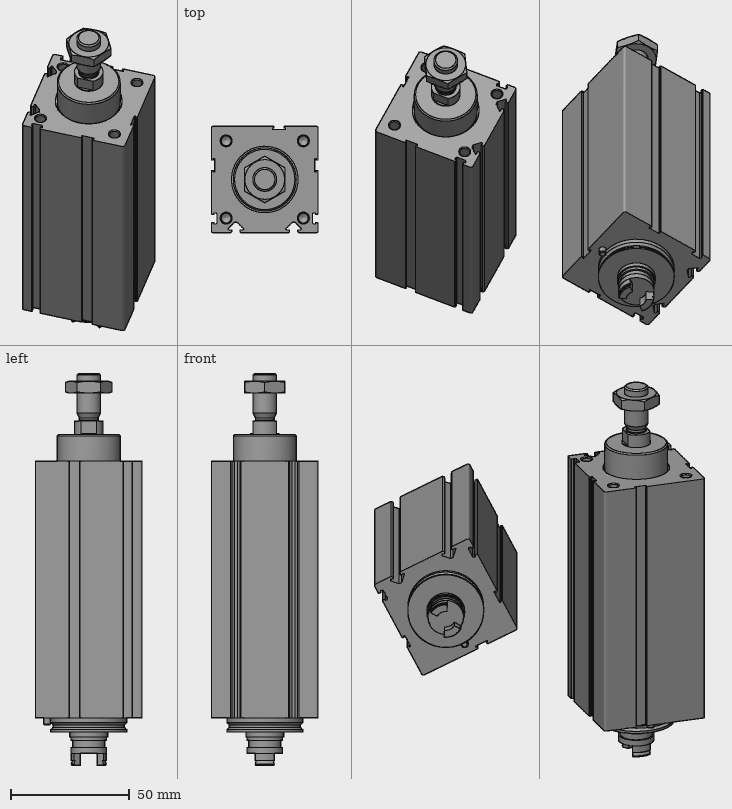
import cadquery as cq
import math


body_side = 45.0
body_height = 108.0
corner_radius = 1.0
screw_pitch = 32.5
tap_dia = 4.13
tap_depth = 10.0
tap_mouth_dia = 5.0
drill_tip_angle = 118.0
recess_dia = 28.0
recess_depth = 1.0

groove_offset = 6.0
groove_mouth = 4.3
groove_width = 5.3
groove_mouth_chamfer = 0.25
groove_lip = 0.9
groove_depth = 1.4

side_slot_offset = 16.4
side_slot_mouth = 3.4
side_slot_width = 4.6
side_slot_mouth_chamfer = 0.25
side_slot_lip = 1.2
side_slot_depth = 2.4
side_slot_corner = 0.4

sensor_offset = 12.15
sensor_mouth = 3.3
sensor_mouth_chamfer = 0.6
sensor_lip = 1.3
sensor_shoulder_width = 5.8
sensor_width = 6.63
sensor_top_width = 1.2

collar_dia = 26.52
collar_projection = 11.2
collar_chamfer = 0.6

rod_dia = 12.0
rod_flats = 10.0
rod_flats_start = 11.6
rod_shoulder = 16.8
neck_dia = 8.0
neck_root_dia = 8.57
neck_start = 17.2
neck_end = 18.2
thread_start = 20.2
thread_dia = 10.0
thread_tip_dia = 8.57
thread_tip_length = 0.6
rod_top = 36.8

nut_across_flats = 17.0
nut_thickness = 5.0
nut_bottom = 28.6
nut_face_dia = 16.7
nut_chamfer_angle = 20.0

flange_dia = 32.0
flange_groove_dia = 30.0
flange_rim = 2.0
flange_taper = 1.0
flange_groove_land = 1.0
flange_bottom_rim = 1.0

coupling_head_dia = 16.0
coupling_ring_dia = 15.0
coupling_neck_dia = 13.6
prong_dia = 14.8
coupling_head_end = 8.0
coupling_neck_start = 9.5
coupling_neck_end = 12.4
coupling_ring_end = 15.0
prong_groove_start = 18.0
prong_groove_end = 19.4
coupling_end = 20.0
prong_half_angle = 33.0
prong_bore_dia = 8.3
prong_tip_dia = 14.2

pin_dia = 3.0
pin_offset_y = 17.5
pin_projection = 3.0
pin_depth = 3.0
pin_chamfer = 0.4

half_side = body_side / 2
collar_base = body_height - recess_depth
flange_thickness = flange_rim + 2 * flange_taper + flange_groove_land + flange_bottom_rim


def revolve_profile(points):
    """Solid of revolution about Z from (radius, z) points."""
    return cq.Workplane("XZ").polyline(points).close().revolve(360, (0, 0, 0), (0, 1, 0))


def lipped_slot(half_outline, offset, face_angle):
    """Full-height cutter for a slot entering from the -Y face, turned about Z onto another face.

    half_outline lists (half width, depth) points from the slot mouth to its floor.
    """
    right = [(offset + w, depth - half_side) for w, depth in half_outline]
    left = [(offset - w, depth - half_side) for w, depth in reversed(half_outline)]
    cutter = cq.Workplane("XY").polyline(right + left).close().extrude(body_height)
    return cutter.rotate((0, 0, 0), (0, 0, 1), face_angle)


def groove_outline():
    return [
        (groove_mouth / 2 + groove_mouth_chamfer, 0),
        (groove_mouth / 2, groove_mouth_chamfer),
        (groove_mouth / 2, groove_lip),
        (groove_width / 2, groove_lip),
        (groove_width / 2, groove_depth),
    ]


def side_slot_outline():
    half_width = side_slot_width / 2
    return [
        (side_slot_mouth / 2 + side_slot_mouth_chamfer, 0),
        (side_slot_mouth / 2, side_slot_mouth_chamfer),
        (side_slot_mouth / 2, side_slot_lip),
        (half_width, side_slot_lip),
        (half_width, side_slot_depth - side_slot_corner),
        (half_width - side_slot_corner, side_slot_depth),
    ]


def sensor_slot_outline():
    half_mouth = sensor_mouth / 2
    widest_depth = sensor_lip + (sensor_width - sensor_shoulder_width) / 2
    floor_depth = widest_depth + (sensor_width - sensor_top_width) / 2
    return [
        (half_mouth + sensor_mouth_chamfer, 0),
        (half_mouth, sensor_mouth_chamfer),
        (half_mouth, sensor_lip),
        (sensor_shoulder_width / 2, sensor_lip),
        (sensor_width / 2, widest_depth),
        (sensor_top_width / 2, floor_depth),
    ]


def tapped_hole():
    """Cutter for a screw hole with a chamfered mouth at z = 0 and a conical drill tip."""
    tap_radius = tap_dia / 2
    mouth_radius = tap_mouth_dia / 2
    tip_height = tap_radius / math.tan(math.radians(drill_tip_angle / 2))
    return revolve_profile([
        (0, 0),
        (mouth_radius, 0),
        (tap_radius, tap_radius - mouth_radius),
        (tap_radius, -tap_depth),
        (0, -tap_depth - tip_height),
    ])


def make_housing():
    body = cq.Workplane("XY").rect(body_side, body_side).extrude(body_height)
    body = body.edges("|Z").fillet(corner_radius)
    for face_angle, offset in ((90, groove_offset), (180, -groove_offset), (270, -groove_offset)):
        body = body.cut(lipped_slot(groove_outline(), offset, face_angle))
    for face_angle, offset in ((90, -side_slot_offset), (270, side_slot_offset)):
        body = body.cut(lipped_slot(side_slot_outline(), offset, face_angle))
    for offset in (-sensor_offset, sensor_offset):
        body = body.cut(lipped_slot(sensor_slot_outline(), offset, 0))
    for x in (-screw_pitch / 2, screw_pitch / 2):
        for y in (-screw_pitch / 2, screw_pitch / 2):
            body = body.cut(tapped_hole().translate((x, y, body_height)))
    recess = cq.Workplane("XY").workplane(offset=collar_base).circle(recess_dia / 2).extrude(recess_depth)
    pin_hole = cq.Workplane("XY").center(0, pin_offset_y).circle(pin_dia / 2).extrude(pin_depth)
    return body.cut(recess).cut(pin_hole)


def make_collar():
    collar = cq.Workplane("XY").workplane(offset=collar_base).circle(collar_dia / 2)
    collar = collar.extrude(recess_depth + collar_projection)
    collar = collar.faces(">Z").edges().chamfer(collar_chamfer)
    return collar.faces(">Z").workplane().hole(rod_dia)


def make_rod():
    profile = [
        (0, -recess_depth),
        (rod_dia / 2, -recess_depth),
        (rod_dia / 2, rod_shoulder),
        (neck_root_dia / 2, rod_shoulder),
        (neck_dia / 2, neck_start),
        (neck_dia / 2, neck_end),
        (thread_dia / 2, thread_start),
        (thread_dia / 2, rod_top - thread_tip_length),
        (thread_tip_dia / 2, rod_top),
        (0, rod_top),
    ]
    rod = revolve_profile(profile)
    flats_height = rod_shoulder - rod_flats_start
    flats = (
        cq.Workplane("XY").workplane(offset=rod_flats_start)
        .rect(2 * rod_dia, 2 * rod_dia)
        .rect(rod_flats, 2 * rod_dia)
        .extrude(flats_height)
    )
    return rod.cut(flats).translate((0, 0, body_height))


def make_nut():
    hex_radius = nut_across_flats / 2 / math.cos(math.pi / 6)
    face_radius = nut_face_dia / 2
    chamfer_height = (hex_radius - face_radius) * math.tan(math.radians(nut_chamfer_angle))
    hexagon = cq.Workplane("XY").polygon(6, 2 * hex_radius).extrude(nut_thickness)
    hexagon = hexagon.rotate((0, 0, 0), (0, 0, 1), 30)
    envelope = revolve_profile([
        (0, 0),
        (face_radius, 0),
        (hex_radius, chamfer_height),
        (hex_radius, nut_thickness - chamfer_height),
        (face_radius, nut_thickness),
        (0, nut_thickness),
    ])
    nut = hexagon.intersect(envelope).faces(">Z").workplane().hole(thread_dia)
    return nut.translate((0, 0, body_height + nut_bottom))


def make_flange():
    groove_top = flange_rim + flange_taper
    groove_bottom = groove_top + flange_groove_land
    return revolve_profile([
        (0, 0),
        (flange_dia / 2, 0),
        (flange_dia / 2, -flange_rim),
        (flange_groove_dia / 2, -groove_top),
        (flange_groove_dia / 2, -groove_bottom),
        (flange_dia / 2, -groove_bottom - flange_taper),
        (flange_dia / 2, -flange_thickness),
        (0, -flange_thickness),
    ])


def prong_cutter():
    """Cutter below the coupling ring: a bore, and a radial-sided gap on each side along X."""
    prong_length = coupling_end - coupling_ring_end
    half_gap_angle = math.radians(90 - prong_half_angle)
    reach_x = coupling_ring_dia
    reach_y = reach_x * math.tan(half_gap_angle)
    base = cq.Workplane("XY").workplane(offset=-coupling_end)
    cutter = base.circle(prong_bore_dia / 2).extrude(prong_length)
    for side in (-1, 1):
        gap = base.polyline([(0, 0), (side * reach_x, reach_y), (side * reach_x, -reach_y)]).close()
        cutter = cutter.union(gap.extrude(prong_length))
    return cutter


def make_coupling():
    head_radius = coupling_head_dia / 2
    ring_radius = coupling_ring_dia / 2
    neck_radius = coupling_neck_dia / 2
    prong_radius = prong_dia / 2
    coupling = revolve_profile([
        (0, -flange_thickness),
        (head_radius, -flange_thickness),
        (head_radius, -coupling_head_end),
        (ring_radius, -coupling_head_end),
        (ring_radius, -coupling_neck_start),
        (neck_radius, -coupling_neck_start),
        (neck_radius, -coupling_neck_end),
        (ring_radius, -coupling_neck_end),
        (ring_radius, -coupling_ring_end),
        (prong_radius, -coupling_ring_end),
        (prong_radius, -prong_groove_start),
        (neck_radius, -prong_groove_start),
        (prong_radius, -prong_groove_end),
        (prong_tip_dia / 2, -coupling_end),
        (0, -coupling_end),
    ])
    return coupling.cut(prong_cutter())


def make_pin():
    pin = cq.Workplane("XY").workplane(offset=-pin_projection).center(0, pin_offset_y).circle(pin_dia / 2)
    return pin.extrude(pin_projection + pin_depth).faces("<Z").edges().chamfer(pin_chamfer)


housing = make_housing()
collar = make_collar()
rod = make_rod()
nut = make_nut()
flange = make_flange()
coupling = make_coupling()
pin = make_pin()

result = cq.Compound.makeCompound([
    housing.val(),
    collar.val(),
    rod.val(),
    nut.val(),
    flange.val(),
    coupling.val(),
    pin.val(),
])